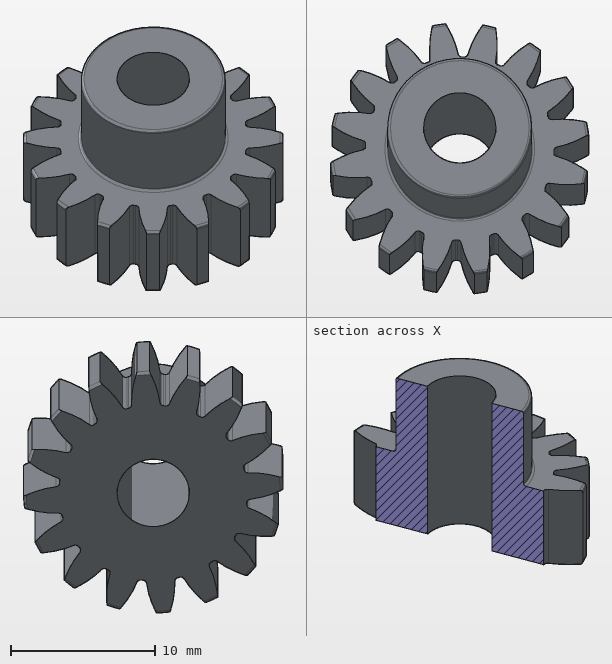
import cadquery as cq
import math

tooth_count = 16
tip_diameter = 18.0
pitch_diameter = 16.0
root_diameter = 13.07
tip_thickness = 0.89
pitch_thickness = 1.59
root_thickness = 2.0
root_fillet = 0.27

gear_height = 6.0
total_height = 2 * gear_height
hub_diameter = 10.0
bore_diameter = 5.0
edge_fillet = 0.2

tooth_spacing = 360 / tooth_count
gap_overrun = 0.35


def flank_point(diameter, thickness, side, overrun=0.0):
    """Point on one flank (side -1 or 1) of the gap centred on +X."""
    half_tooth_angle = math.asin(thickness / diameter)
    angle = side * (math.radians(tooth_spacing / 2) - half_tooth_angle)
    radius = diameter / 2 + overrun
    return (radius * math.cos(angle), radius * math.sin(angle))


def make_gap_cutter():
    """Prism filling the tooth gap centred on +X, with arc flanks and a rounded root."""
    cutter = (
        cq.Workplane("XY")
        .moveTo(*flank_point(tip_diameter, tip_thickness, -1, gap_overrun))
        .lineTo(*flank_point(tip_diameter, tip_thickness, -1))
        .threePointArc(
            flank_point(pitch_diameter, pitch_thickness, -1),
            flank_point(root_diameter, root_thickness, -1),
        )
        .threePointArc((root_diameter / 2, 0), flank_point(root_diameter, root_thickness, 1))
        .threePointArc(
            flank_point(pitch_diameter, pitch_thickness, 1),
            flank_point(tip_diameter, tip_thickness, 1),
        )
        .lineTo(*flank_point(tip_diameter, tip_thickness, 1, gap_overrun))
        .close()
        .extrude(gear_height)
    )
    root_corners = cq.selectors.BoxSelector(
        (0, -pitch_diameter / 2, 0),
        (pitch_diameter / 2, pitch_diameter / 2, gear_height),
    )
    return cutter.edges("|Z").edges(root_corners).fillet(root_fillet)


def make_gear():
    """Disc with both rims rounded, then cut into teeth so the rounding stays on the tips."""
    gear = cq.Workplane("XY").circle(tip_diameter / 2).extrude(gear_height)
    gear = gear.faces("<Z or >Z").edges().fillet(edge_fillet)
    gap_cutter = make_gap_cutter()
    for index in range(tooth_count):
        gear = gear.cut(gap_cutter.rotate((0, 0, 0), (0, 0, 1), index * tooth_spacing))
    return gear


def make_hub():
    """Hub revolved from its half profile, with a concave base fillet and a rounded top rim."""
    hub_radius = hub_diameter / 2
    base_radius = hub_radius + edge_fillet
    return (
        cq.Workplane("XZ")
        .lineTo(base_radius, 0)
        .lineTo(base_radius, gear_height)
        .radiusArc((hub_radius, gear_height + edge_fillet), edge_fillet)
        .lineTo(hub_radius, total_height - edge_fillet)
        .radiusArc((hub_radius - edge_fillet, total_height), -edge_fillet)
        .lineTo(0, total_height)
        .close()
        .revolve()
    )


bore = cq.Workplane("XY").circle(bore_diameter / 2).extrude(total_height)

result = make_gear().union(make_hub()).cut(bore)